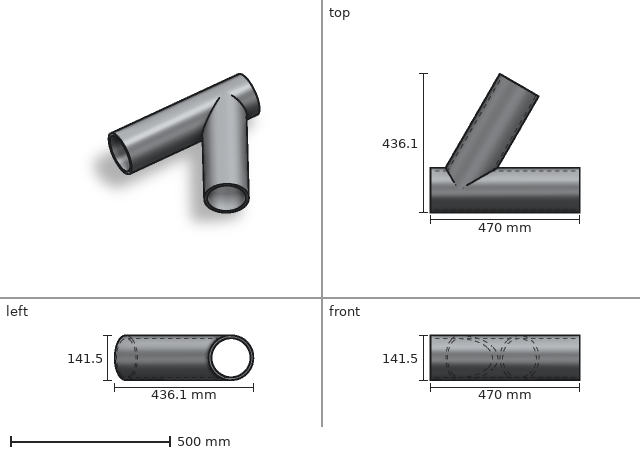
import cadquery as cq
import math

outer_diameter = 141.5
bore_diameter = 122.0
run_length = 470.0
junction_from_run_end = 89.0
branch_length = 381.0
branch_angle = 60.0

run_start = (-junction_from_run_end, 0, 0)
run_direction = (1, 0, 0)
junction = (0, 0, 0)
branch_direction = (
    math.cos(math.radians(branch_angle)),
    math.sin(math.radians(branch_angle)),
    0,
)


def cylinder(diameter, length, start, direction):
    """Solid round bar from start along direction."""
    plane = cq.Plane(origin=start, xDir=(0, 0, 1), normal=direction)
    return cq.Workplane(plane).circle(diameter / 2).extrude(length)


def run_and_branch(diameter):
    """Run and branch cylinders of one diameter, joined at the junction."""
    run = cylinder(diameter, run_length, run_start, run_direction)
    branch = cylinder(diameter, branch_length, junction, branch_direction)
    return run.union(branch)


result = run_and_branch(outer_diameter).cut(run_and_branch(bore_diameter))